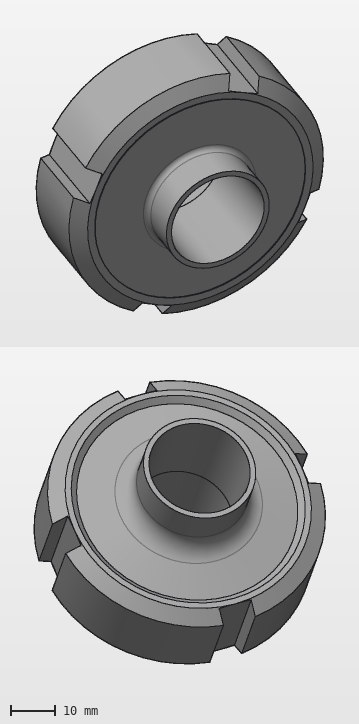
import cadquery as cq
import math


union_length = 44.0
pipe_radius = 25.4 / 2
bore_radius = 22.9 / 2
left_end = -union_length / 2
right_end = union_length / 2

nut_radius = 31.45
nut_left = left_end + 14.0
nut_width = 21.05
nut_right = nut_left + nut_width
nut_face_radius = 27.85
chamfer_width = 2.15
nut_bore_radius = 52.0 / 2
lip_mouth_radius = 26.45
lip_tip_radius = 25.0

slot_count = 4
slot_width = 7.8
slot_floor_radius = 27.85
slot_angle = 22.5

liner_pipe_length = 8.6
liner_fillet = 5.0
liner_cone_angle = math.radians(12)
collar_thickness = 6.3

socket_pipe_length = 7.9
socket_fillet = 1.25

fillet_start = left_end + liner_pipe_length
fillet_center_radius = pipe_radius + liner_fillet
cone_start = fillet_start + liner_fillet * math.cos(liner_cone_angle)
cone_start_radius = fillet_center_radius - liner_fillet * math.sin(liner_cone_angle)


def cone_x(radius):
    """X of the liner's conical face at the given radius."""
    return cone_start + (radius - cone_start_radius) * math.tan(liner_cone_angle)


joint_x = cone_x(nut_bore_radius) + collar_thickness


def revolve_about_x(profile):
    """Close an (X, radius) profile and turn it about the X axis."""
    return profile.close().revolve(360, (0, 0, 0), (1, 0, 0))


def make_nut_slot(angle):
    """Box for one spanner slot, running the full width of the nut."""
    slot_height = nut_radius
    return (
        cq.Workplane("XY", origin=(nut_left + nut_width / 2, 0, slot_floor_radius))
        .box(nut_width, slot_width, slot_height, centered=(True, True, False))
        .rotate((0, 0, 0), (1, 0, 0), -angle)
    )


def make_nut():
    """Chamfered ring whose inner lip bears on the liner's conical face."""
    profile = (
        cq.Workplane("XY")
        .moveTo(nut_left, lip_mouth_radius)
        .lineTo(nut_left, nut_face_radius)
        .lineTo(nut_left + chamfer_width, nut_radius)
        .lineTo(nut_right - chamfer_width, nut_radius)
        .lineTo(nut_right, nut_face_radius)
        .lineTo(nut_right, nut_bore_radius)
        .lineTo(cone_x(nut_bore_radius), nut_bore_radius)
        .lineTo(cone_x(lip_tip_radius), lip_tip_radius)
    )
    nut = revolve_about_x(profile)
    for index in range(slot_count):
        nut = nut.cut(make_nut_slot(slot_angle + index * 360 / slot_count))
    return nut


def make_liner():
    """Pipe end blending into a conical collar that sits behind the nut's lip."""
    mid_angle = (math.pi / 2 + liner_cone_angle) / 2
    fillet_middle = (
        fillet_start + liner_fillet * math.cos(mid_angle),
        fillet_center_radius - liner_fillet * math.sin(mid_angle),
    )
    profile = (
        cq.Workplane("XY")
        .moveTo(left_end, bore_radius)
        .lineTo(left_end, pipe_radius)
        .lineTo(fillet_start, pipe_radius)
        .threePointArc(fillet_middle, (cone_start, cone_start_radius))
        .lineTo(cone_x(nut_bore_radius), nut_bore_radius)
        .lineTo(joint_x, nut_bore_radius)
        .lineTo(joint_x, bore_radius)
    )
    return revolve_about_x(profile)


def make_socket():
    """Flange filling the nut's bore, with a filleted pipe end."""
    fillet_end = right_end - socket_pipe_length
    flange_face = fillet_end - socket_fillet
    profile = (
        cq.Workplane("XY")
        .moveTo(joint_x, bore_radius)
        .lineTo(joint_x, nut_bore_radius)
        .lineTo(flange_face, nut_bore_radius)
        .lineTo(flange_face, pipe_radius + socket_fillet)
        .radiusArc((fillet_end, pipe_radius), -socket_fillet)
        .lineTo(right_end, pipe_radius)
        .lineTo(right_end, bore_radius)
    )
    return revolve_about_x(profile)


nut = make_nut()
liner = make_liner()
socket = make_socket()

result = cq.Compound.makeCompound([nut.solids().val(), liner.val(), socket.val()])